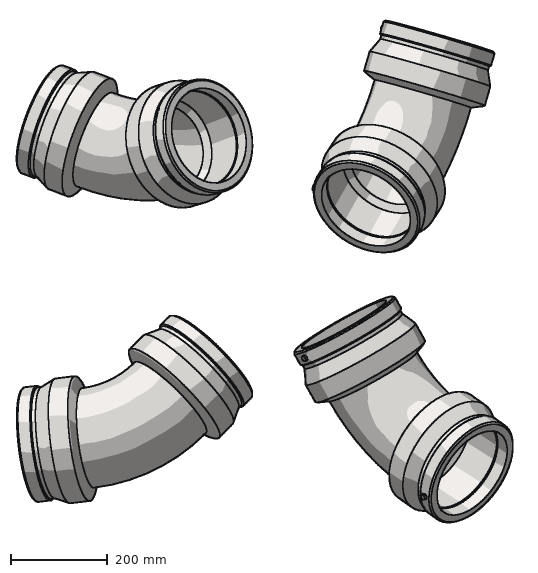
import cadquery as cq
import math

bend_angle = 45.0
bend_radius = 247.0
pipe_radius = 104.0
pipe_bore_radius = 87.0

collar_chamfer = 3.5
collar_end = 29.0
neck_start = 31.5
neck_end = 40.0
bulge_start = 71.0
bulge_end = 112.0
shoulder_start = 115.0
socket_length = 124.5

collar_radius = 240.0 / 2
neck_radius = 233.0 / 2
bulge_radius = 261.0 / 2
shoulder_radius = 126.5
socket_bore_radius = 200.0 / 2

groove_start = 28.5
groove_end = 32.0
groove_depth = 0.5

pin_radius = 12.0 / 2
pin_station = 16.0
pin_tip = 125.0


def revolve_about_x(points):
    """Turn an (axial station, radius) outline about the X axis."""
    return cq.Workplane("XY").polyline(points).close().revolve(360, (0, 0, 0), (1, 0, 0))


def socket_body():
    """Solid socket with its mouth at x = 0."""
    return revolve_about_x([
        (0, 0),
        (0, collar_radius - collar_chamfer),
        (collar_chamfer, collar_radius),
        (collar_end, collar_radius),
        (neck_start, neck_radius),
        (neck_end, neck_radius),
        (bulge_start, bulge_radius),
        (bulge_end, bulge_radius),
        (shoulder_start, shoulder_radius),
        (socket_length, pipe_radius),
        (socket_length, 0),
    ])


def socket_cavity():
    """Grooved bore that tapers down to the pipe bore."""
    groove_radius = socket_bore_radius + groove_depth
    return revolve_about_x([
        (0, 0),
        (0, socket_bore_radius),
        (groove_start, socket_bore_radius),
        (groove_start, groove_radius),
        (groove_end, groove_radius),
        (groove_end, socket_bore_radius),
        (bulge_end, socket_bore_radius),
        (socket_length, pipe_bore_radius),
        (socket_length, 0),
    ])


def marker_pin():
    """Pin rooted halfway through the collar wall."""
    root = (socket_bore_radius + collar_radius) / 2
    return (
        cq.Workplane("XZ", origin=(pin_station, root, 0))
        .circle(pin_radius)
        .extrude(root - pin_tip)
    )


def socket():
    return socket_body().cut(socket_cavity()).union(marker_pin())


def curved_pipe():
    """Hollow pipe that leaves the first socket and bends upward."""
    return (
        cq.Workplane("YZ", origin=(socket_length, 0, 0))
        .circle(pipe_radius)
        .circle(pipe_bore_radius)
        .revolve(bend_angle, (0, bend_radius, 0), (-1, bend_radius, 0))
    )


def mirrored_across_bend(shape):
    """Copy a shape to the other end of the bend by reflection in its middle plane."""
    half_angle = math.radians(bend_angle / 2)
    normal = cq.Vector(math.cos(half_angle), 0, math.sin(half_angle))
    bend_centre = cq.Vector(socket_length, 0, bend_radius)
    return shape.mirror(normal, bend_centre)


lower_socket = socket()
upper_socket = mirrored_across_bend(lower_socket)
result = curved_pipe().union(lower_socket).union(upper_socket)